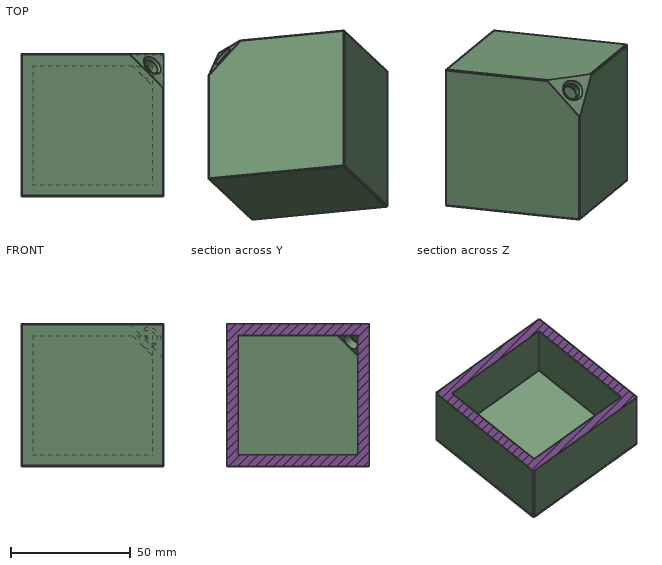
import cadquery as cq
import math

cube_side = 60.0
corner_cut_leg = 14.7
edge_chamfer = 0.5
wall_thickness = 5.0

hole_diameter = 6.8
countersink_diameter = 8.8
countersink_angle = 90.0

flat_distance = (1.5 * cube_side - corner_cut_leg) / math.sqrt(3)


def diagonal_plane(distance):
    """Outward-facing plane square to the body diagonal, at a distance from the cube centre."""
    coordinate = distance / math.sqrt(3)
    return cq.Plane(origin=(coordinate, coordinate, coordinate), xDir=(1, -1, 0), normal=(1, 1, 1))


def cut_corner(body, distance):
    """Remove everything beyond the given distance along the body diagonal."""
    beyond = cq.Workplane(diagonal_plane(distance)).rect(cube_side, cube_side).extrude(cube_side)
    return body.cut(beyond)


def outer_body():
    cube = cq.Workplane("XY").box(cube_side, cube_side, cube_side).edges().chamfer(edge_chamfer)
    return cut_corner(cube, flat_distance)


def cavity():
    """Inner space with the same wall thickness behind the cube faces and the corner flat."""
    cavity_side = cube_side - 2 * wall_thickness
    cube = cq.Workplane("XY").box(cavity_side, cavity_side, cavity_side)
    return cut_corner(cube, flat_distance - wall_thickness)


def countersunk_hole():
    """Round passage with a conical mouth, ending inside the cavity."""
    hole_radius = hole_diameter / 2
    mouth_radius = countersink_diameter / 2
    countersink_depth = (mouth_radius - hole_radius) / math.tan(math.radians(countersink_angle / 2))
    hole_depth = 2 * wall_thickness
    half_profile = (
        cq.Workplane(diagonal_plane(flat_distance))
        .transformed(rotate=(90, 0, 0))
        .polyline(
            [
                (0, 0),
                (mouth_radius, 0),
                (hole_radius, -countersink_depth),
                (hole_radius, -hole_depth),
                (0, -hole_depth),
            ]
        )
        .close()
    )
    return half_profile.revolve(360, (0, 0), (0, 1))


result = outer_body().cut(cavity()).cut(countersunk_hole()).solids()